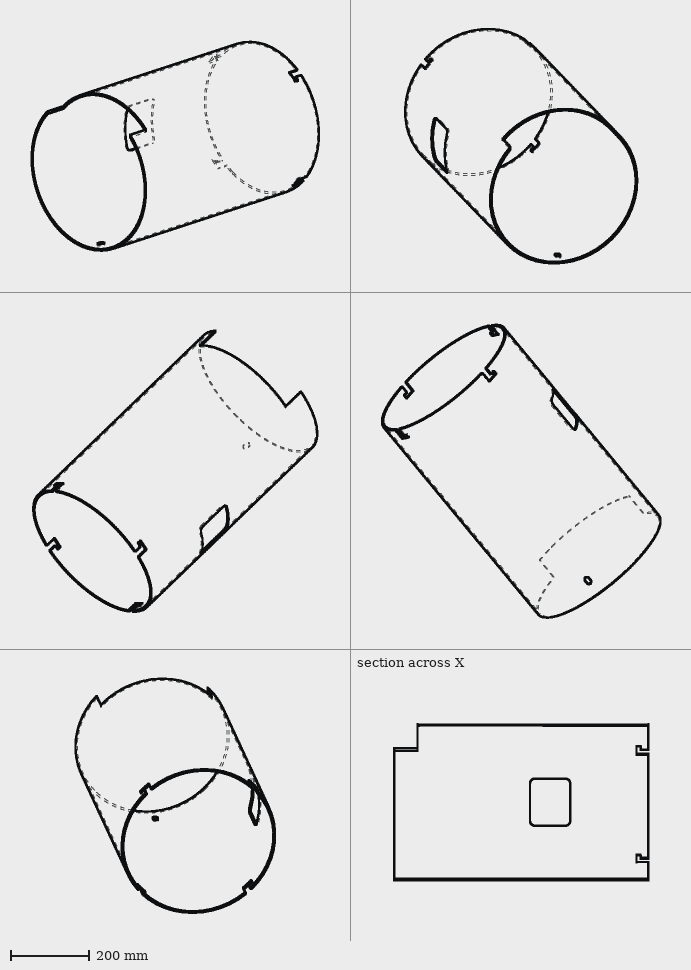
import cadquery as cq
import math

length = 650
outer_diameter = 400.0
wall = 5.0
outer_radius = outer_diameter / 2
front_y = -length / 2
back_y = length / 2

opening_length = 60.0
opening_width = 288.5

window_length = 102.0
window_height = 119.5
window_corner_radius = 12.0
window_back_distance = 200.0

drain_length = 21.0
drain_width = 12.5
drain_front_distance = 45.5

bayonet_count = 4
bayonet_foot_angle = 43.1
bayonet_shoulder_angle = 46.6
bayonet_end_angle = 51.6
bayonet_depth = 30.0
bayonet_foot_length = 10.0


def wedge(start_angle, end_angle, low_y, high_y):
    """Sector about the tube axis that cuts radial faces through the wall."""
    reach = outer_diameter
    corners = [(0, 0)]
    for angle in (start_angle, end_angle):
        turn = math.radians(angle)
        corners.append((reach * math.cos(turn), reach * math.sin(turn)))
    sector = cq.Workplane("XZ", origin=(0, low_y, 0)).polyline(corners).close()
    return sector.extrude(low_y - high_y)


def bayonet_slot(turn):
    """Straight entry from the back edge, with a foot to one side at its inner end."""
    bottom_y = back_y - bayonet_depth
    entry = wedge(turn + bayonet_shoulder_angle, turn + bayonet_end_angle, bottom_y, back_y)
    foot = wedge(
        turn + bayonet_foot_angle,
        turn + bayonet_end_angle,
        bottom_y,
        bottom_y + bayonet_foot_length,
    )
    return entry.union(foot)


def top_opening():
    """Straight-sided block reaching from the tube axis up through the top wall."""
    center_y = front_y + opening_length / 2
    block = cq.Workplane("XY", origin=(0, center_y, 0)).rect(opening_width, opening_length)
    return block.extrude(outer_diameter)


def window():
    center_y = back_y - window_back_distance - window_length / 2
    block = cq.Workplane("YZ", origin=(0, center_y, 0)).rect(window_length, window_height)
    return block.extrude(-outer_diameter).edges("|X").fillet(window_corner_radius)


def drain_slot():
    center_y = front_y + drain_front_distance
    outline = cq.Workplane("XY", origin=(0, center_y, 0)).slot2D(drain_length, drain_width, 90)
    return outline.extrude(-outer_diameter)


tube = cq.Workplane("XZ", origin=(0, front_y, 0)).circle(outer_radius).circle(outer_radius - wall)
result = tube.extrude(-length)

result = result.cut(top_opening())
result = result.cut(window())
result = result.cut(drain_slot())
for index in range(bayonet_count):
    result = result.cut(bayonet_slot(index * 360 / bayonet_count))